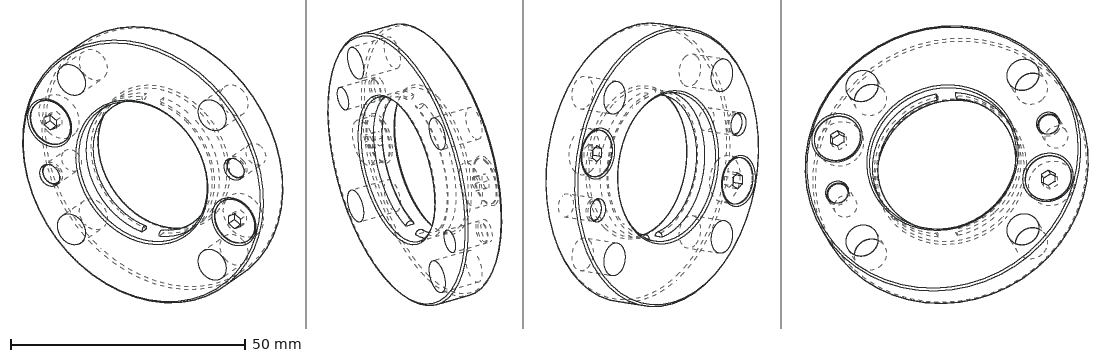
import cadquery as cq
import math

ring_diameter = 60.0
ring_thickness = 9.0
bore_diameter = 32.0
edge_chamfer = 0.5
front_y = -ring_thickness / 2

mounting_hole_diameter = 7.0
mounting_hole_offset = 17.5

bead_inner_diameter = 30.0
bead_radius = (bore_diameter - bead_inner_diameter) / 2
bead_gap = 4.2

pitch_radius = 23.75
fitting_angle = 15.0
screw_angles = (180 - fitting_angle, -fitting_angle)
pin_angles = (fitting_angle, 180 + fitting_angle)

screw_diameter = 10.0
screw_head_height = 3.6
screw_recess = 0.25
screw_countersink = 0.5
hex_across_flats = 3.0
hex_depth = 2.4

pin_diameter = 5.0
pin_recess = 0.9
pin_chamfer = 0.3


def pitch_point(angle):
    """X and Z of a place on the pitch circle."""
    turn = math.radians(angle)
    return pitch_radius * math.cos(turn), pitch_radius * math.sin(turn)


def rod(diameter, length, depth, x=0.0, z=0.0):
    """Cylinder along Y that starts at the given depth below the front face."""
    start = cq.Vector(x, front_y + depth, z)
    return cq.Workplane(cq.Solid.makeCylinder(diameter / 2, length, start, cq.Vector(0, 1, 0)))


def make_bore_beads():
    """Torus around the bore wall, cut away in a straight band at top and bottom."""
    torus = cq.Workplane(cq.Solid.makeTorus(bore_diameter / 2, bead_radius, dir=cq.Vector(0, 1, 0)))
    gap_band = cq.Workplane("XY").box(bead_gap, ring_thickness, ring_diameter)
    return torus.cut(gap_band)


def make_screw_seat(angle):
    """Counterbore for a screw head with a countersunk mouth."""
    x, z = pitch_point(angle)
    counterbore = rod(screw_diameter, screw_recess + screw_head_height, 0, x, z)
    mouth = cq.Solid.makeCone(
        screw_diameter / 2 + screw_countersink,
        screw_diameter / 2,
        screw_countersink,
        cq.Vector(x, front_y, z),
        cq.Vector(0, 1, 0),
    )
    return counterbore.union(cq.Workplane(mouth))


def make_ring():
    blank = rod(ring_diameter, ring_thickness, 0).cut(rod(bore_diameter, ring_thickness, 0))
    ring = blank.faces("<Y or >Y").edges().chamfer(edge_chamfer)
    for x in (-mounting_hole_offset, mounting_hole_offset):
        for z in (-mounting_hole_offset, mounting_hole_offset):
            ring = ring.cut(rod(mounting_hole_diameter, ring_thickness, 0, x, z))
    for angle in screw_angles:
        ring = ring.cut(make_screw_seat(angle))
    for angle in pin_angles:
        ring = ring.cut(rod(pin_diameter, ring_thickness, 0, *pitch_point(angle)))
    return ring.union(make_bore_beads())


def make_screw(angle):
    """Screw head with a hexagon socket that has two corners on its vertical centre line."""
    x, z = pitch_point(angle)
    head = rod(screw_diameter, screw_head_height, screw_recess, x, z)
    socket = (
        cq.Workplane("XZ", origin=(x, front_y + screw_recess, z))
        .polygon(6, hex_across_flats, circumscribed=True)
        .extrude(-hex_depth)
    )
    return head.cut(socket)


def make_pin(angle):
    """Pin with a chamfered front end."""
    pin = rod(pin_diameter, ring_thickness - pin_recess, pin_recess, *pitch_point(angle))
    return pin.faces("<Y").chamfer(pin_chamfer)


ring = make_ring()
screws = [make_screw(angle) for angle in screw_angles]
pins = [make_pin(angle) for angle in pin_angles]

result = cq.Compound.makeCompound([body.val() for body in [ring, *screws, *pins]])